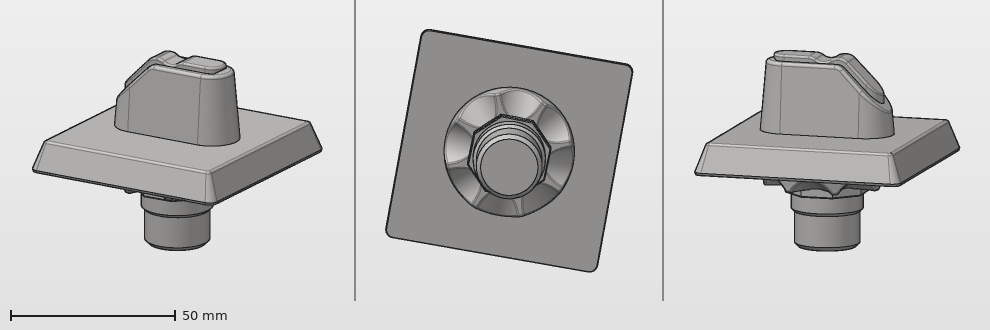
import cadquery as cq
import math

OVERLAP = 0.65

plate_side = 65.6
plate_height = 9.6
plate_widest_z = 0.8
plate_wall_angle = 19.8
plate_bottom_inset = 0.25
plate_corner_radius = 2.6
plate_top_corner_radius = 1.1
plate_top_fillet = 1.0

handle_half_straight = 12.45
handle_radius = 8.5
handle_draft = 4.9
handle_top_z = 31.35
nose_half_turn = math.radians(22.5)
handle_corner_x = -5.85
handle_corner_radius = 3.6
handle_top_fillet = 1.1

button_thickness = 1.95
button_radius = 4.25
button_nose_centre_x = -13.65
button_end_centre_x = 12.5
button_corner_radius = 3.8
button_top_fillet = 0.7
undercut_length = 1.5
undercut_height = 0.85
dish_x = 0.05
dish_depth = 1.45
dish_radius = 4.05
dish_lip_radius = 3.8

ring_radius = 19.9
ring_height = 6.55
ring_band_height = 1.05
ring_draft = 5.0
scallop_count = 8
scallop_radius = 8.2
scallop_half_length = 13.1
scallop_rim_depth = 2.1
scallop_slope = 26.6
ring_twist = 1.5
ring_edge_fillet = 0.65

nut_sides = 8
nut_circumradius = 13.0
nut_bottom_z = -9.0
nut_chamfer = 0.3
sleeve_radius = 11.0
sleeve_bottom_z = -14.95
sleeve_chamfer = 1.0
stub_radius = 10.0
stub_bottom_z = -25.9
stub_chamfer = 1.3


def square_loft(lower, upper):
    """Ruled solid between two rounded squares given as (z, half side, corner radius)."""
    sections = []
    for z, half_side, corner_radius in (lower, upper):
        square = cq.Sketch().rect(2 * half_side, 2 * half_side).vertices().fillet(corner_radius)
        sections.append(square.moved(cq.Location(cq.Vector(0, 0, z))))
    return cq.Workplane("XY").placeSketch(*sections).loft(ruled=True)


def make_plate():
    half = plate_side / 2
    top_inset = (plate_height - plate_widest_z) * math.tan(math.radians(plate_wall_angle))
    bottom = (0, half - plate_bottom_inset, plate_corner_radius - plate_bottom_inset)
    widest = (plate_widest_z, half, plate_corner_radius)
    top = (plate_height, half - top_inset, plate_top_corner_radius)
    upper = square_loft(widest, top).faces(">Z").edges().fillet(plate_top_fillet)
    return upper.union(square_loft(bottom, widest))


def nose_outline(corner_x, top_z, corner_radius):
    """Side outline rising at 45 degrees from -X and rounding over onto the flat top."""
    reach = plate_side / 2
    drop = reach + corner_x
    setback = corner_radius * math.tan(nose_half_turn)
    diagonal = setback * math.sqrt(0.5)
    arc_x = corner_x + setback - corner_radius * math.sin(nose_half_turn)
    arc_z = top_z - corner_radius * (1 - math.cos(nose_half_turn))
    return (
        cq.Workplane("XZ")
        .moveTo(-reach, 0)
        .lineTo(-reach, top_z - drop)
        .lineTo(corner_x - diagonal, top_z - diagonal)
        .threePointArc((arc_x, arc_z), (corner_x + setback, top_z))
    )


def add_dish(outline, top_z):
    """Continue an outline along the flat top through the finger dish and its rounded lips."""
    radii = dish_radius + dish_lip_radius
    turn = math.acos(1 - dish_depth / radii)
    half_width = radii * math.sin(turn)
    half_hollow = dish_radius * math.sin(turn)
    hollow_z = top_z - dish_lip_radius * (1 - math.cos(turn))
    lip_mid_x = half_width - dish_lip_radius * math.sin(turn / 2)
    lip_mid_z = top_z - dish_lip_radius * (1 - math.cos(turn / 2))
    return (
        outline.lineTo(dish_x - half_width, top_z)
        .threePointArc((dish_x - lip_mid_x, lip_mid_z), (dish_x - half_hollow, hollow_z))
        .threePointArc((dish_x, top_z - dish_depth), (dish_x + half_hollow, hollow_z))
        .threePointArc((dish_x + lip_mid_x, lip_mid_z), (dish_x + half_width, top_z))
    )


def block_under(outline, top_z):
    """Wide solid below a side outline that has reached the flat top."""
    reach = plate_side / 2
    return outline.lineTo(reach, top_z).lineTo(reach, 0).close().extrude(reach, both=True)


def round_top(body, x, half_width, z, radius):
    """Fillet the smooth chain of top edges that passes through one point on the +Y side."""
    return body.edges(cq.NearestToPointSelector((x, half_width, z))).fillet(radius)


def stadium(start_x, end_x, radius, base_z):
    """Stadium outline along X between two end centres."""
    middle = cq.Workplane("XY", origin=((start_x + end_x) / 2, 0, base_z))
    return middle.slot2D(end_x - start_x + 2 * radius, 2 * radius)


def make_handle():
    height = handle_top_z - plate_height
    top_half_width = handle_radius - height * math.tan(math.radians(handle_draft))
    outline = nose_outline(handle_corner_x, handle_top_z, handle_corner_radius)
    body = (
        stadium(-handle_half_straight, handle_half_straight, handle_radius, plate_height)
        .extrude(height + OVERLAP, taper=handle_draft)
        .intersect(block_under(outline, handle_top_z))
    )
    return round_top(body, 0, top_half_width, handle_top_z, handle_top_fillet)


def make_button():
    top_z = handle_top_z + button_thickness
    corner_x = handle_corner_x - button_thickness * math.tan(nose_half_turn)
    outline = add_dish(nose_outline(corner_x, top_z, button_corner_radius), top_z)
    body = (
        stadium(button_nose_centre_x, button_end_centre_x, button_radius, plate_height)
        .extrude(top_z + OVERLAP - plate_height)
        .intersect(block_under(outline, top_z))
    )
    body = round_top(body, button_end_centre_x / 2, button_radius, top_z, button_top_fillet)
    end_x = button_end_centre_x + button_radius
    undercut = (
        cq.Workplane("XZ")
        .moveTo(end_x - undercut_length, handle_top_z)
        .lineTo(end_x, handle_top_z + undercut_height)
        .lineTo(end_x, handle_top_z)
        .close()
        .extrude(button_radius, both=True)
    )
    return body.cut(undercut)


def make_ring():
    ring = (
        cq.Workplane("XY")
        .circle(ring_radius)
        .extrude(-ring_band_height)
        .faces("<Z")
        .workplane()
        .circle(ring_radius)
        .extrude(ring_height - ring_band_height, taper=ring_draft)
    )
    scallop = (
        cq.Workplane("YZ")
        .center(0, -scallop_radius)
        .circle(scallop_radius)
        .extrude(scallop_half_length, both=True)
        .rotate((0, 0, 0), (0, 1, 0), -scallop_slope)
        .translate((ring_radius, 0, -scallop_rim_depth))
    )
    for i in range(scallop_count):
        angle = ring_twist + 360 * i / scallop_count
        ring = ring.cut(scallop.rotate((0, 0, 0), (0, 0, 1), angle))
    reach = plate_side / 2
    below_band = -ring_band_height - OVERLAP
    lower_edges = cq.selectors.BoxSelector((-reach, -reach, -reach), (reach, reach, below_band))
    return ring.edges(lower_edges).fillet(ring_edge_fillet)


def make_nut():
    nut = (
        cq.Workplane("XY")
        .polygon(nut_sides, 2 * nut_circumradius)
        .extrude(nut_bottom_z)
        .faces("<Z")
        .chamfer(nut_chamfer)
    )
    return nut.rotate((0, 0, 0), (0, 0, 1), 180 / nut_sides + ring_twist)


def make_stem(radius, bottom_z, chamfer):
    """Round stem from the plate's underside, chamfered at its lower end."""
    return cq.Workplane("XY").circle(radius).extrude(bottom_z).faces("<Z").chamfer(chamfer)


result = (
    make_plate()
    .union(make_handle())
    .union(make_button())
    .union(make_ring())
    .union(make_nut())
    .union(make_stem(sleeve_radius, sleeve_bottom_z, sleeve_chamfer))
    .union(make_stem(stub_radius, stub_bottom_z, stub_chamfer))
)